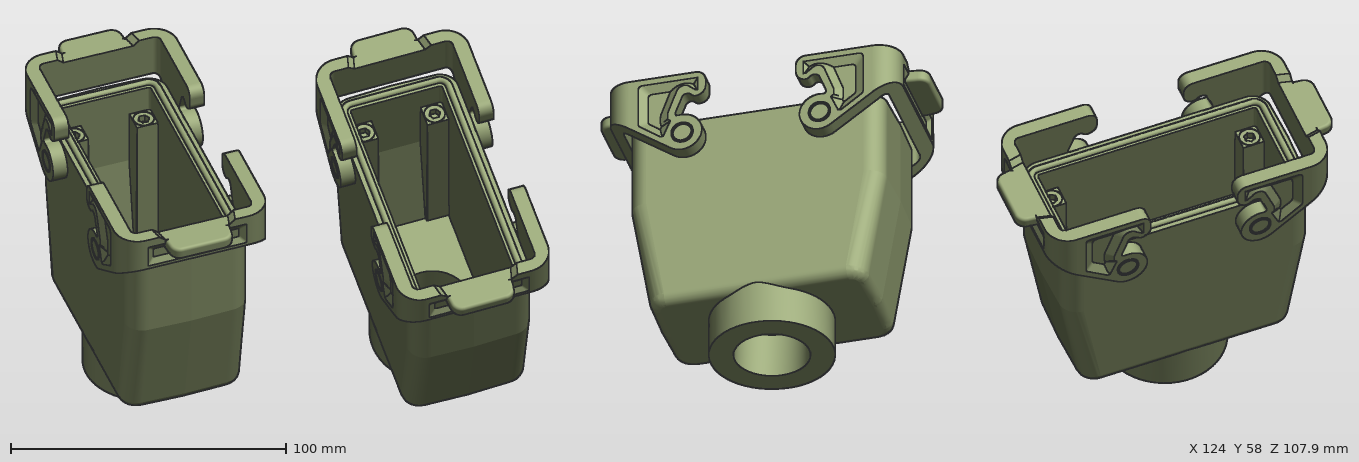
import cadquery as cq
import math

total_height = 107.9

hood_half_length = 48.5
hood_half_width = 23.25
end_crown = 0.5
hood_corner_radius = 7.0
hood_bottom = 14.6
hood_bend = 58.2
hood_rim = 90.9
bottom_inset = 7.3
bottom_fillet = 3.8
end_lean = bottom_inset / (hood_bend - hood_bottom)

cavity_half_length = 42.8
cavity_half_width = 17.5
cavity_corner_radius = 1.0
floor_thickness = 3.0
cavity_floor = hood_bottom + floor_thickness

bead_radius = 1.3
bead_half_length = 45.45
bead_half_width = 20.0
bead_corner_radius = 3.6

gland_radius = 23.0
bore_radius = 14.0

post_size = 8.1
post_top = 80.3
post_edge_radius = 1.0
post_draft = 0.4
screw_head_radius = 3.8
screw_head_recess = 0.2
hex_across_corners = 4.2
hex_turn = 30
hex_depth = 3.0

lever_half_length = 55.0
lever_half_width = 29.0
lever_inner_half_length = 50.0
lever_inner_half_width = 23.4
lever_outer_radius = 9.0
lever_inner_radius = 2.3
lever_slope = math.radians(35)
pivot_x = -25.9
pivot_z = 82.9
pivot_radius = 7.5
pin_radius = 4.1
pin_groove_width = 0.6
pin_groove_depth = 0.4
hook_end_x = -17.0
hook_radius = 3.7
hook_tip_z = 101.4
throat_start = (-22.3, 98.4)
throat_crest = (-24.5, 99.1)
throat_end = (-26.1, 97.4)
neck_end = (-28.3, 91.8)
eye_fillet_middle = (-28.2, 90.7)
eye_join_offset = 1.3

pocket_wall_lean = math.radians(60)
side_pocket_wall_run = 3.2
side_pocket_fillet = 3.5
side_pocket_left = -42.4
side_pocket_right = -19.9
side_pocket_top = 105.4
side_pocket_left_bottom = 88.2
side_pocket_bottom = 82.2
side_pocket_tip = (-34.1, -33.0)
side_pocket_hook_floor = 100.2
side_pocket_hook_floor_x = -20.7
side_pocket_arc = ((-22.8, 101.8), (-25.1, 102.9), (-27.8, 101.1))
side_pocket_neck_x = -31.3
side_pocket_neck_top = 91.8
side_pocket_neck_bottom = 89.3
side_pocket_shoulder = (-30.3, 88.4)
end_pocket_wall_run = 2.5
end_pocket_half_width = 19.1
end_pocket_bottom = 95.4
end_pocket_top = 104.3
end_pocket_fillet = 1.5

tab_end_x = -62.0
tab_top = 106.0
tab_bottom = 101.3
tab_root_half_width = 13.0
tab_tip_half_width = 11.6
tab_corner_radius = 4.0
tab_edge_fillet = 1.2
gap_top_half_width = 14.6
gap_floor_half_width = 12.3
gap_flare = 1.2


def hood_section(height, half_length):
    """Closed hood outline: crowned ends, flat sides and round corners."""
    corner_x = half_length - end_crown
    inner_x = corner_x - hood_corner_radius
    inner_y = hood_half_width - hood_corner_radius
    diagonal = hood_corner_radius * math.sqrt(0.5)
    arc_x = inner_x + diagonal
    arc_y = inner_y + diagonal
    return (
        cq.Workplane("XY", origin=(0, 0, height))
        .moveTo(half_length, 0)
        .lineTo(corner_x, inner_y)
        .threePointArc((arc_x, arc_y), (inner_x, hood_half_width))
        .lineTo(-inner_x, hood_half_width)
        .threePointArc((-arc_x, arc_y), (-corner_x, inner_y))
        .lineTo(-half_length, 0)
        .lineTo(-corner_x, -inner_y)
        .threePointArc((-arc_x, -arc_y), (-inner_x, -hood_half_width))
        .lineTo(inner_x, -hood_half_width)
        .threePointArc((arc_x, -arc_y), (corner_x, -inner_y))
        .close()
    )


def make_hood():
    upper = hood_section(hood_bend, hood_half_length).extrude(hood_rim - hood_bend)
    bend_wire = hood_section(hood_bend, hood_half_length).val()
    bottom_wire = hood_section(hood_bottom, hood_half_length - bottom_inset).val()
    lower = cq.Workplane(cq.Solid.makeLoft([bottom_wire, bend_wire], True))
    return upper.union(lower).faces("<Z").edges().fillet(bottom_fillet)


def make_cavity():
    """Inner space, its end walls leaning parallel to the outer ones."""
    floor_half_length = cavity_half_length - end_lean * (hood_bend - cavity_floor)
    cavity = (
        cq.Workplane("XZ")
        .polyline([
            (-floor_half_length, cavity_floor),
            (floor_half_length, cavity_floor),
            (cavity_half_length, hood_bend),
            (cavity_half_length, total_height),
            (-cavity_half_length, total_height),
            (-cavity_half_length, hood_bend),
        ])
        .close()
        .extrude(cavity_half_width, both=True)
    )
    return cavity.edges("|Z").fillet(cavity_corner_radius)


def rounded_block(half_length, half_width, radius, bottom, top):
    return (
        cq.Workplane("XY", origin=(0, 0, bottom))
        .rect(2 * half_length, 2 * half_width)
        .extrude(top - bottom)
        .edges("|Z")
        .fillet(radius)
    )


def make_bead():
    block = rounded_block(bead_half_length, bead_half_width, bead_corner_radius, 0, hood_rim)
    centre_line = block.faces(">Z").wires()
    section = cq.Workplane("YZ", origin=(0, -bead_half_width, hood_rim)).circle(bead_radius)
    return section.sweep(centre_line)


def make_post(x_side, y_side):
    """Square post in one cavity corner with a hexagon-socket screw head on top."""
    x = x_side * (cavity_half_length - post_size / 2)
    y = y_side * (cavity_half_width - post_size / 2)
    post = (
        cq.Workplane("XY", origin=(x, y, post_top))
        .rect(post_size, post_size)
        .extrude(cavity_floor - post_top, taper=-post_draft)
        .edges("not #Z")
        .fillet(post_edge_radius)
    )
    top = cq.Workplane("XY", origin=(x, y, post_top))
    head = top.circle(screw_head_radius).extrude(-screw_head_recess)
    socket = top.transformed(rotate=(0, 0, hex_turn)).polygon(6, hex_across_corners).extrude(-hex_depth)
    return post.cut(head).cut(socket)


def lever_profile():
    """Side outline of the left lever: pivot eye, hook and sloping lower edge."""
    tangent_x = pivot_x - pivot_radius * math.sin(lever_slope)
    tangent_z = pivot_z - pivot_radius * math.cos(lever_slope)
    outer_edge_z = tangent_z + (tangent_x + lever_half_length) * math.tan(lever_slope)
    hook_x = hook_end_x - hook_radius
    eye_join_x = pivot_x - eye_join_offset
    eye_join_z = pivot_z + math.sqrt(pivot_radius**2 - eye_join_offset**2)
    diagonal = hook_radius * math.sqrt(0.5)
    return (
        cq.Workplane("XZ")
        .moveTo(-lever_half_length, outer_edge_z)
        .lineTo(-lever_half_length, total_height)
        .lineTo(hook_x, total_height)
        .threePointArc(
            (hook_x + diagonal, total_height - hook_radius + diagonal),
            (hook_end_x, total_height - hook_radius),
        )
        .lineTo(hook_end_x, hook_tip_z)
        .threePointArc((hook_x + diagonal, hook_tip_z - diagonal), (hook_x, hook_tip_z - hook_radius))
        .tangentArcPoint(throat_start, relative=False)
        .threePointArc(throat_crest, throat_end)
        .lineTo(*neck_end)
        .threePointArc(eye_fillet_middle, (eye_join_x, eye_join_z))
        .threePointArc((pivot_x + pivot_radius, pivot_z), (tangent_x, tangent_z))
        .close()
    )


def make_sloped_pocket(outline, wall_run, protruding_corners=()):
    """Pocket below a closed outline, its walls sloping inwards by the wall run.

    A straight-walled pocket loses a ridge along every straight edge and a cone at
    every arc and every corner that protrudes into it.
    """
    plane = outline.plane
    down = plane.zDir * -1
    depth = wall_run / math.tan(pocket_wall_lean)
    pocket = outline.extrude(-depth)
    for edge in outline.val().Edges():
        if edge.geomType() == "CIRCLE":
            radius = edge.radius()
            slope = cq.Solid.makeCone(radius, radius + wall_run, depth, edge.arcCenter(), down)
        else:
            slope = make_ridge(edge, down, wall_run, depth)
        pocket = pocket.cut(cq.Workplane(slope))
    for corner in protruding_corners:
        cone = cq.Solid.makeCone(0, wall_run, depth, plane.toWorldCoords(corner), down)
        pocket = pocket.cut(cq.Workplane(cone))
    return pocket


def make_ridge(edge, down, wall_run, depth):
    """Triangular bar below an edge, widening to the wall run on both sides."""
    along = edge.endPoint() - edge.startPoint()
    section_plane = cq.Plane(origin=edge.startPoint(), xDir=along.cross(down), normal=along)
    base = depth * section_plane.yDir.dot(down)
    section = cq.Workplane(section_plane).polyline([(0, 0), (wall_run, base), (-wall_run, base)])
    return section.close().extrude(along.Length).val()


def make_side_pocket():
    """Pocket in the outer face of the front arm of the left lever."""
    plane = cq.Plane(origin=(0, -lever_half_width, 0), xDir=(1, 0, 0), normal=(0, -1, 0))
    neck_top = (side_pocket_neck_x, side_pocket_neck_top)
    neck_bottom = (side_pocket_neck_x, side_pocket_neck_bottom)
    arc_start, arc_middle, arc_end = side_pocket_arc
    tip_left, tip_right = side_pocket_tip
    outline = (
        cq.Workplane(plane)
        .moveTo(side_pocket_left, side_pocket_left_bottom)
        .lineTo(side_pocket_left, side_pocket_top)
        .lineTo(side_pocket_right, side_pocket_top)
        .lineTo(side_pocket_right, side_pocket_hook_floor)
        .lineTo(side_pocket_hook_floor_x, side_pocket_hook_floor)
        .lineTo(*arc_start)
        .threePointArc(arc_middle, arc_end)
        .lineTo(*neck_top)
        .lineTo(*neck_bottom)
        .lineTo(*side_pocket_shoulder)
        .lineTo(tip_right, side_pocket_bottom)
        .lineTo(tip_left, side_pocket_bottom)
        .close()
    )
    pocket = make_sloped_pocket(outline, side_pocket_wall_run, [neck_top, neck_bottom])
    outer_corners = pocket.faces("<X").edges("not #Y")
    return outer_corners.fillet(side_pocket_fillet)


def make_end_pocket():
    """Pocket in the end wall of the left lever."""
    plane = cq.Plane(origin=(-lever_half_length, 0, 0), xDir=(0, -1, 0), normal=(-1, 0, 0))
    outline = (
        cq.Workplane(plane)
        .moveTo(-end_pocket_half_width, end_pocket_bottom)
        .lineTo(end_pocket_half_width, end_pocket_bottom)
        .lineTo(end_pocket_half_width, end_pocket_top)
        .lineTo(-end_pocket_half_width, end_pocket_top)
        .close()
    )
    pocket = make_sloped_pocket(outline, end_pocket_wall_run)
    return pocket.edges("not #X").fillet(end_pocket_fillet)


def make_tab():
    outline = [
        (-lever_inner_half_length, -tab_root_half_width),
        (-lever_inner_half_length, tab_root_half_width),
        (tab_end_x, tab_tip_half_width),
        (tab_end_x, -tab_tip_half_width),
    ]
    return (
        cq.Workplane("XY", origin=(0, 0, tab_bottom))
        .polyline(outline)
        .close()
        .extrude(tab_top - tab_bottom)
        .edges("|Z and <X")
        .fillet(tab_corner_radius)
        .faces("<X")
        .edges("|Y")
        .fillet(tab_edge_fillet)
    )


def make_gap():
    """Lowering of the end wall above the tab, its sloping sides flaring inwards."""

    def section(x, flare):
        return (
            cq.Workplane("YZ", origin=(x, 0, 0))
            .polyline([
                (-gap_floor_half_width - flare, tab_top),
                (gap_floor_half_width + flare, tab_top),
                (gap_top_half_width + flare, total_height),
                (-gap_top_half_width - flare, total_height),
            ])
            .close()
            .val()
        )

    outer = section(-lever_half_length, 0)
    inner = section(-lever_inner_half_length, gap_flare)
    return cq.Workplane(cq.Solid.makeLoft([outer, inner], True))


def make_lever():
    """Left lever: a bail around the hood end with an arm on each side."""
    lever = lever_profile().extrude(lever_half_width, both=True)
    outer = rounded_block(lever_half_length, lever_half_width, lever_outer_radius, 0, total_height)
    inner = rounded_block(
        lever_inner_half_length, lever_inner_half_width, lever_inner_radius, 0, total_height
    )
    lever = lever.intersect(outer).cut(inner)
    side_pocket = make_side_pocket()
    lever = lever.cut(side_pocket).cut(side_pocket.mirror("XZ"))
    lever = lever.cut(make_end_pocket()).cut(make_gap()).union(make_tab())
    pin = make_pin()
    groove = make_pin_groove()
    lever = lever.union(pin).union(pin.mirror("XZ"))
    return lever.cut(groove).cut(groove.mirror("XZ"))


def make_pin():
    """Pivot pin joining the front arm of the left lever to the hood wall."""
    wall_middle = (hood_half_width + cavity_half_width) / 2
    return (
        cq.Workplane("XZ", origin=(pivot_x, -wall_middle, pivot_z))
        .circle(pin_radius)
        .extrude(lever_half_width - wall_middle)
    )


def make_pin_groove():
    return (
        cq.Workplane("XZ", origin=(pivot_x, -lever_half_width, pivot_z))
        .circle(pin_radius)
        .circle(pin_radius - pin_groove_width)
        .extrude(-pin_groove_depth)
    )


hood = make_hood()
gland = cq.Workplane("XY").circle(gland_radius).extrude(hood_bottom + bottom_fillet)
bore = cq.Workplane("XY").circle(bore_radius).extrude(total_height)
result = hood.union(gland).cut(make_cavity()).cut(bore).union(make_bead())
for x_side in (-1, 1):
    for y_side in (-1, 1):
        result = result.union(make_post(x_side, y_side).intersect(hood))
lever = make_lever()
result = result.union(lever).union(lever.mirror("YZ"))